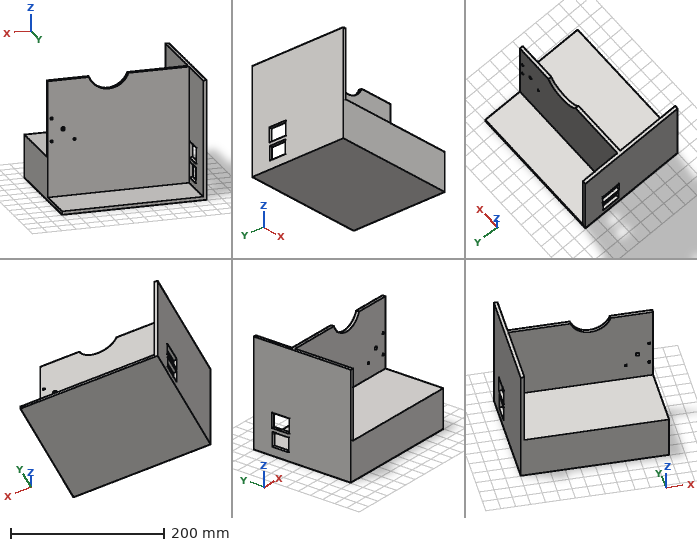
import cadquery as cq

length = 198.8
depth = 160.0
height = 165.0
plate = 5.0

platform_height = 59.6
wall_front = 95.2

notch_x = 115.1
notch_radius = 28.6
notch_depth = 18.7

hole_x = 178.0
hole_z = 97.5
hole_diameter = 5.0
screw_diameter = 3.0
screw_offset = 15.7

window_center_y = 115.7
lower_window_width = 27.0
lower_window_height = 21.7
lower_window_bottom = 13.3
upper_window_width = 28.6
upper_window_height = 22.5
upper_window_bottom = 40.5


def block(size_x, size_y, size_z, y=0, z=0):
    """Box with one corner at (0, y, z)."""
    return cq.Workplane("XY").box(size_x, size_y, size_z, centered=False).translate((0, y, z))


def wall_cutter(x, z, diameter):
    """Cylinder along Y passing through the upright wall only."""
    workplane = cq.Workplane("XZ", origin=(x, wall_front, z))
    return workplane.circle(diameter / 2).extrude(-plate)


def window_cutter(width, window_height, bottom):
    """Rectangular cutter through the end plate."""
    return block(plate, width, window_height, window_center_y - width / 2, bottom)


end_plate = block(plate, depth, height)
floor = block(length, depth, plate)
platform = block(length, wall_front, platform_height)
wall = block(length, plate, height, wall_front)
body = end_plate.union(floor).union(platform).union(wall)

notch_z = height - notch_depth + notch_radius
body = body.cut(wall_cutter(notch_x, notch_z, 2 * notch_radius))
body = body.cut(wall_cutter(hole_x, hole_z, hole_diameter))
for side_x, side_z in [(-1, -1), (1, -1), (1, 1)]:
    screw_x = hole_x + side_x * screw_offset
    screw_z = hole_z + side_z * screw_offset
    body = body.cut(wall_cutter(screw_x, screw_z, screw_diameter))

body = body.cut(window_cutter(lower_window_width, lower_window_height, lower_window_bottom))
body = body.cut(window_cutter(upper_window_width, upper_window_height, upper_window_bottom))

result = body